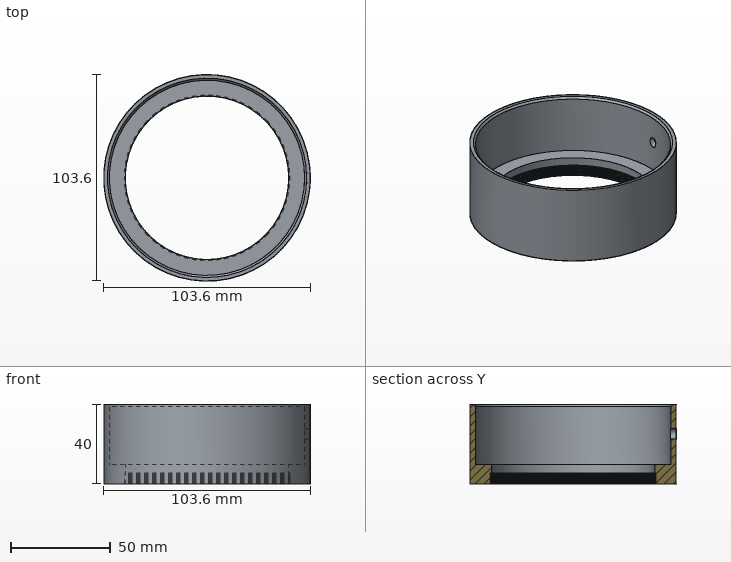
import cadquery as cq

outer_radius = 51.8
height = 40.0
bore_radius = 48.9
rim_chamfer = 1.0

flange_height = 10.0
opening_radius = 41.0

groove_count = 6
groove_pitch = 1.0
groove_depth = 0.6
crest_width = groove_pitch / 4
root_width = groove_pitch / 4

hole_diameter = 5.0
hole_height = 25.3


def ring_body():
    """Revolve the wall, chamfered rim and flange as one cross-section."""
    profile = [
        (opening_radius, 0),
        (outer_radius, 0),
        (outer_radius, height),
        (bore_radius + rim_chamfer, height),
        (bore_radius, height - rim_chamfer),
        (bore_radius, flange_height),
        (opening_radius, flange_height),
    ]
    return cq.Workplane("XZ").polyline(profile).close().revolve(360, (0, 0), (0, 1))


def thread_groove(base_height):
    """Ring with sloped flanks and a flat root, leaving a flat crest above it."""
    mouth_top = base_height + groove_pitch - crest_width
    root_radius = opening_radius + groove_depth
    root_middle = (base_height + mouth_top) / 2
    profile = [
        (opening_radius, base_height),
        (root_radius, root_middle - root_width / 2),
        (root_radius, root_middle + root_width / 2),
        (opening_radius, mouth_top),
    ]
    return cq.Workplane("XZ").polyline(profile).close().revolve(360, (0, 0), (0, 1))


def side_hole():
    """Cylinder from the axis outwards along +X."""
    return (
        cq.Workplane("YZ")
        .center(0, hole_height)
        .circle(hole_diameter / 2)
        .extrude(outer_radius + rim_chamfer)
    )


result = ring_body().cut(side_hole())
for index in range(groove_count):
    result = result.cut(thread_groove(index * groove_pitch))